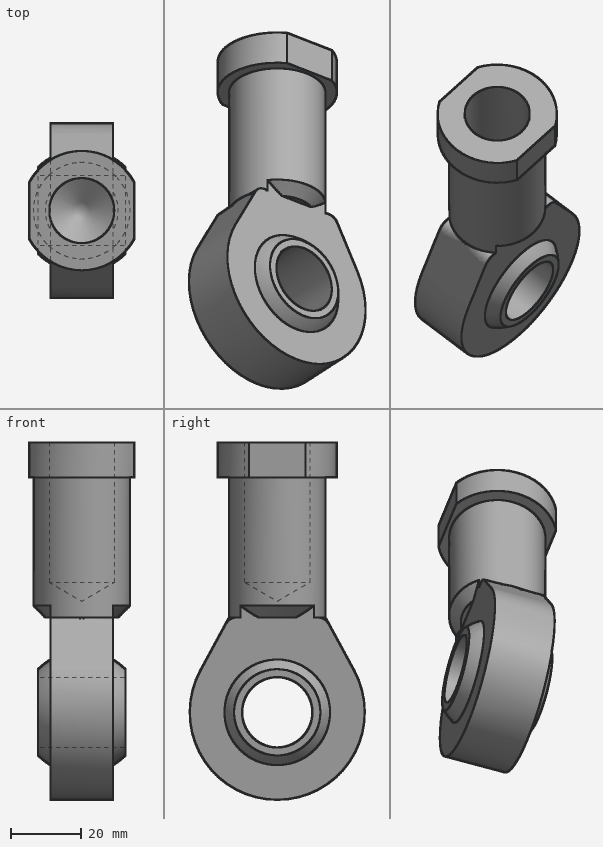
import cadquery as cq
import math

head_radius = 25.0
head_width = 18.0
total_height = 102.0
top_z = total_height - head_radius

shank_radius = 13.8
shank_bottom_z = 27.0
shank_chamfer = 3.4

shoulder_radius = 3.5
shoulder_start_x = 0.5
shoulder_sections = 6

flange_radius = 17.0
flange_height = 10.0
flange_across_flats = 30.0

thread_bore_radius = 9.3
thread_bore_depth = 40.0
drill_tip_half_angle = 60

ball_width = 25.0
ball_bore_radius = 10.0
ball_radius = 17.5


corner_angle = math.atan2(shank_bottom_z, shank_radius)
corner_distance = math.hypot(shank_radius, shank_bottom_z)
tangent_angle = corner_angle - math.acos(head_radius / corner_distance)
tangent_y = head_radius * math.cos(tangent_angle)
tangent_z = head_radius * math.sin(tangent_angle)
shoulder_angle = math.pi / 2 + tangent_angle


def make_head():
    """Round eye with two tangent flanks that rise to the shank edges."""
    return (
        cq.Workplane("YZ", origin=(-head_width / 2, 0, 0))
        .moveTo(-shank_radius, shank_bottom_z)
        .lineTo(-tangent_y, tangent_z)
        .threePointArc((0, -head_radius), (tangent_y, tangent_z))
        .lineTo(shank_radius, shank_bottom_z)
        .close()
        .extrude(head_width)
    )


def rim_gap(x):
    """Width of the ledge between the round shank and the shoulder edge at x."""
    return shank_radius - math.sqrt(shank_radius**2 - x**2)


def shoulder_section(x):
    """Wire around the corner that the rounding removes from the +Y shoulder at x.

    The arc is tangent to the flank and starts at the shank rim, or at its
    tangent point on the ledge once the ledge is wide enough.
    """
    top_length = min(rim_gap(x), shoulder_radius / math.tan(shoulder_angle / 2))
    rise = top_length * math.sin(shoulder_angle)
    flank_length = (
        top_length * math.cos(shoulder_angle)
        + math.sqrt(rise * (2 * shoulder_radius - rise))
    )
    edge = cq.Vector(x, shank_radius, shank_bottom_z)
    down_flank = cq.Vector(0, math.sin(tangent_angle), -math.cos(tangent_angle))
    inward = cq.Vector(0, -math.cos(tangent_angle), -math.sin(tangent_angle))
    rim_point = edge - cq.Vector(0, top_length, 0)
    flank_point = edge + down_flank * flank_length
    arc_center = flank_point + inward * shoulder_radius
    chord_middle = (rim_point + flank_point) * 0.5
    arc_middle = arc_center + (chord_middle - arc_center).normalized() * shoulder_radius
    return cq.Wire.assembleEdges([
        cq.Edge.makeLine(edge, rim_point),
        cq.Edge.makeThreePointArc(rim_point, arc_middle, flank_point),
        cq.Edge.makeLine(flank_point, edge),
    ])


def make_rounded_head():
    """Head with its four shoulder edges rounded, fading out at the shank rim."""
    full_gap = shoulder_radius / math.tan(shoulder_angle / 2)
    full_x = math.sqrt(shank_radius**2 - (shank_radius - full_gap) ** 2)
    step = (full_x - shoulder_start_x) / (shoulder_sections - 1)
    fading_part = cq.Solid.makeLoft(
        [shoulder_section(shoulder_start_x + i * step) for i in range(shoulder_sections)]
    )
    outer_part = cq.Solid.makeLoft([shoulder_section(full_x), shoulder_section(head_width / 2)], True)
    head = make_head()
    for part in (fading_part, outer_part):
        corner = cq.Workplane(obj=part)
        pair = corner.union(corner.mirror("YZ"))
        head = head.cut(pair).cut(pair.mirror("XZ"))
    return head


def make_shank():
    """Cylinder whose lower rim is chamfered only outside the head width."""
    height = top_z - shank_bottom_z
    cylinder = cq.Workplane("XY", origin=(0, 0, shank_bottom_z)).circle(shank_radius).extrude(height)
    middle = cylinder.intersect(
        cq.Workplane("XY", origin=(0, 0, shank_bottom_z))
        .rect(head_width, 2 * shank_radius)
        .extrude(height)
    )
    return cylinder.faces("<Z").chamfer(shank_chamfer).union(middle)


def make_flange():
    """Disc at the top of the shank with two flats facing +X and -X."""
    plane = cq.Workplane("XY", origin=(0, 0, top_z - flange_height))
    disc = plane.circle(flange_radius).extrude(flange_height)
    return disc.intersect(plane.rect(flange_across_flats, 2 * flange_radius).extrude(flange_height))


def make_thread_bore():
    """Blind bore from the top with a conical drill tip."""
    bore_end_z = top_z - thread_bore_depth
    tip_z = bore_end_z - thread_bore_radius / math.tan(math.radians(drill_tip_half_angle))
    return (
        cq.Workplane("XZ")
        .moveTo(0, top_z)
        .lineTo(thread_bore_radius, top_z)
        .lineTo(thread_bore_radius, bore_end_z)
        .lineTo(0, tip_z)
        .close()
        .revolve(360, (0, 0), (0, 1))
    )


def make_ball():
    """Ball cut flat on both sides, revolved about the X axis."""
    half_width = ball_width / 2
    face_radius = math.sqrt(ball_radius**2 - half_width**2)
    return (
        cq.Workplane("XY")
        .moveTo(-half_width, 0)
        .lineTo(-half_width, face_radius)
        .threePointArc((0, ball_radius), (half_width, face_radius))
        .lineTo(half_width, 0)
        .close()
        .revolve(360, (0, 0), (1, 0))
    )


ball_bore = cq.Workplane("YZ").circle(ball_bore_radius).extrude(ball_width, both=True)

body = make_rounded_head().union(make_shank()).union(make_flange()).union(make_ball())
result = body.cut(make_thread_bore()).cut(ball_bore)